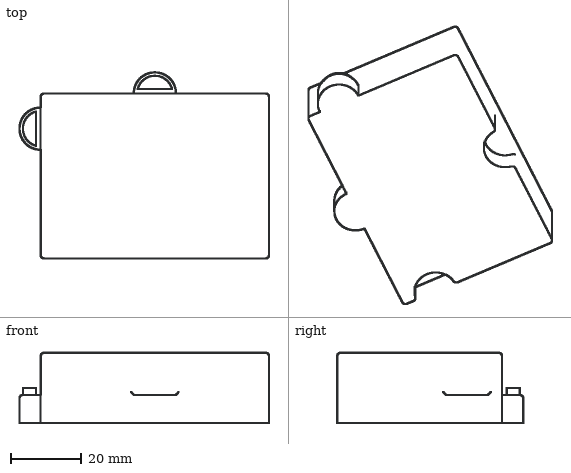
import cadquery as cq

body_length = 65.0
body_width = 46.9
body_height = 20.0
edge_round = 1.0

tab_radius = 6.0
tab_height = 8.0
pin_radius = tab_radius - edge_round
pin_height = 2.0
pin_wall_gap = 1.3
tab_corner_distance = 10.0

bowl_length = 58.9
bowl_width = 30.95
bowl_wall_lean = 0.65
bowl_floor_thickness = 1.0
bowl_floor_round = 2.0

wall_x = body_length / 2
wall_y = body_width / 2
side_tab_y = wall_y - tab_corner_distance


def make_body():
    block = cq.Workplane("XY").box(body_length, body_width, body_height, centered=(True, True, False))
    return block.edges("|Z or >Z").fillet(edge_round)


def make_bowl():
    """Bowl volume, with its floor edge already rounded."""
    bowl = (
        cq.Workplane("XY")
        .workplane(offset=bowl_floor_thickness)
        .ellipse(bowl_length / 2 - bowl_wall_lean, bowl_width / 2 - bowl_wall_lean)
        .workplane(offset=body_height - bowl_floor_thickness)
        .ellipse(bowl_length / 2, bowl_width / 2)
        .loft(ruled=True)
    )
    return bowl.faces("<Z").edges().fillet(bowl_floor_round)


def half_space_block(back_x):
    """Block large enough to hold a tab, lying entirely on the -X side of back_x."""
    side = 2 * tab_radius
    block = cq.Workplane("XY").box(side, side, tab_height + pin_height, centered=(False, True, False))
    return block.translate((back_x - side, 0, 0))


def make_tab():
    """Tab on the wall plane X = 0, bulging towards -X, with its pin."""
    disc = cq.Workplane("XY").circle(tab_radius).extrude(tab_height)
    tab = disc.faces(">Z").edges().fillet(edge_round).intersect(half_space_block(0))
    pin = cq.Workplane("XY").workplane(offset=tab_height).circle(pin_radius).extrude(pin_height)
    return tab.union(pin.intersect(half_space_block(-pin_wall_gap)))


def cut_slot(part, x, y):
    """Cut a half-round slot that receives a tab into the wall at (x, y)."""
    slot = cq.Workplane("XY").center(x, y).circle(tab_radius).extrude(tab_height)
    return part.cut(slot)


def round_slot_mouth(part, x, y, reach_x, reach_y):
    """Round the slot edges in the wall, within the given reach of (x, y)."""
    margin = 0.1
    mouth = cq.selectors.BoxSelector(
        (x - reach_x - margin, y - reach_y - margin, margin),
        (x + reach_x + margin, y + reach_y + margin, tab_height + margin),
    )
    return part.edges(mouth).fillet(edge_round)


result = make_body().cut(make_bowl())
result = result.faces(">Z").edges("%ELLIPSE or %BSPLINE").fillet(edge_round)

result = cut_slot(result, 0, -wall_y)
result = round_slot_mouth(result, 0, -wall_y, tab_radius, 0)
result = cut_slot(result, wall_x, side_tab_y)
result = round_slot_mouth(result, wall_x, side_tab_y, 0, tab_radius)

result = result.union(make_tab().translate((-wall_x, side_tab_y, 0)))
back_tab = make_tab().rotate((0, 0, 0), (0, 0, 1), -90)
result = result.union(back_tab.translate((0, wall_y, 0)))